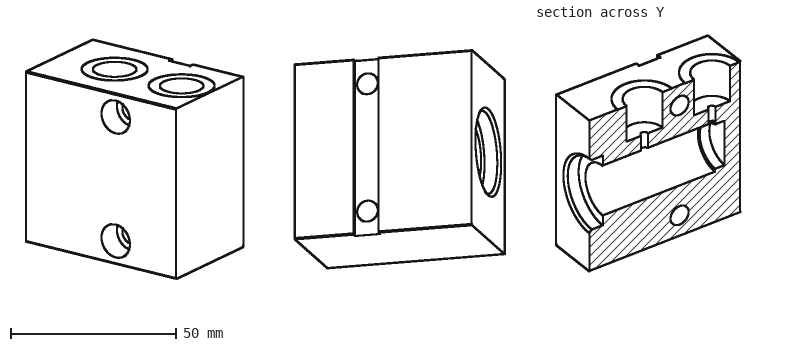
import cadquery as cq

length = 56.0
width = 35.0
height = 55.0
edge_chamfer = 0.35
mid_y = width / 2
mid_z = height / 2

mouth_diameter = 27.1
recess_diameter = 25.2
mouth_chamfer_depth = (mouth_diameter - recess_diameter) / 2
recess_depth = 5.0
bore_diameter = 18.05
pilot_diameter = 16.0
pilot_length = 3.5

first_port_x = 20.5
port_spacing = 25.0
port_xs = (first_port_x, first_port_x + port_spacing)
port_diameter = 13.2
port_depth = 13.0
spotface_diameter = 20.0
spotface_depth = 0.1
passage_diameter = 2.5

shoulder_inset = 0.15
bore_depth = port_xs[1] + passage_diameter / 2 - shoulder_inset

mounting_x = 33.5
mounting_spacing = 40.0
mounting_diameter = 6.55
counterbore_diameter = 10.6
counterbore_depth = 8.0

keyway_width = 7.9
keyway_depth = 1.85


def cylinder_x(diameter, depth):
    """Cylinder on the bore axis, from the -X face inward."""
    return cq.Workplane("YZ").center(mid_y, mid_z).circle(diameter / 2).extrude(depth)


def cylinder_y(x, z, diameter, depth):
    """Cylinder from the -Y face inward."""
    return cq.Workplane("XZ").center(x, z).circle(diameter / 2).extrude(-depth)


def cylinder_down(x, diameter, depth):
    """Cylinder on the middle plane, from the top face downward."""
    plane = cq.Workplane("XY").workplane(offset=height)
    return plane.center(x, mid_y).circle(diameter / 2).extrude(-depth)


def make_block():
    block = cq.Workplane("XY").box(length, width, height, centered=False)
    return block.edges("|X").chamfer(edge_chamfer)


def make_keyway():
    keyway = cq.Workplane("XY").box(keyway_width, keyway_depth, height, centered=False)
    return keyway.translate((mounting_x - keyway_width / 2, width - keyway_depth, 0))


def make_bore():
    mouth_rim = cq.Workplane("YZ").center(mid_y, mid_z).circle(mouth_diameter / 2)
    mouth = mouth_rim.workplane(offset=mouth_chamfer_depth).circle(recess_diameter / 2).loft(ruled=True)
    recess = cylinder_x(recess_diameter, recess_depth)
    bore = cylinder_x(bore_diameter, bore_depth)
    pilot = cylinder_x(pilot_diameter, bore_depth + pilot_length)
    return mouth.union(recess).union(bore).union(pilot)


def make_port(x):
    spotface = cylinder_down(x, spotface_diameter, spotface_depth)
    port = cylinder_down(x, port_diameter, port_depth)
    passage = cylinder_down(x, passage_diameter, height / 2)
    return spotface.union(port).union(passage)


def make_mounting_hole(z):
    hole = cylinder_y(mounting_x, z, mounting_diameter, width)
    return hole.union(cylinder_y(mounting_x, z, counterbore_diameter, counterbore_depth))


result = make_block().cut(make_keyway()).cut(make_bore())
for port_x in port_xs:
    result = result.cut(make_port(port_x))
for side in (-1, 1):
    result = result.cut(make_mounting_hole(mid_z + side * mounting_spacing / 2))